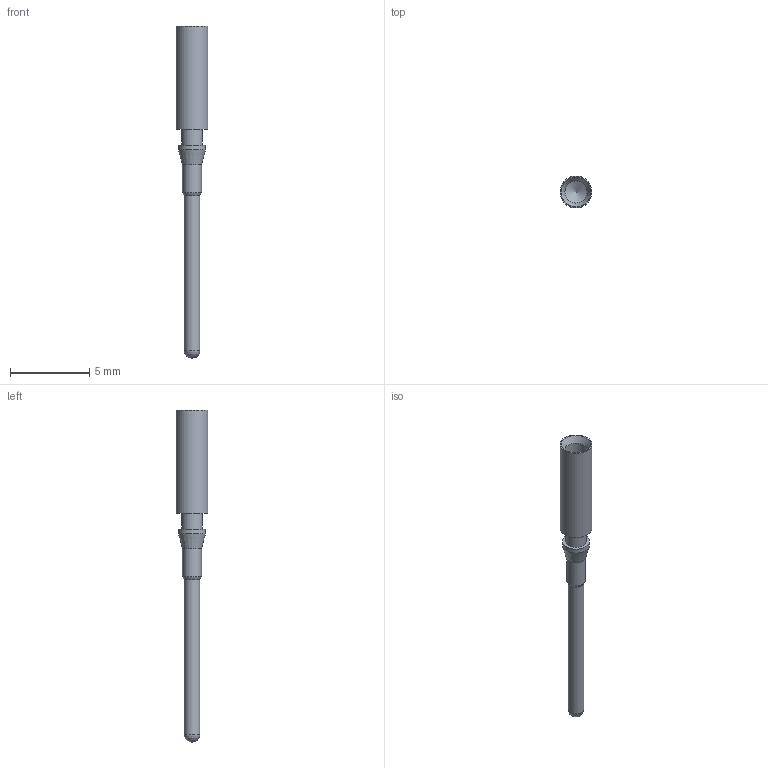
import cadquery as cq
import math

overall_length = 20.9

barrel_radius = 1.0
neck_radius = 0.65
collar_radius = 0.85
shoulder_radius = 0.6
pin_radius = 0.5

barrel_length = 6.5
neck_length = 1.0
collar_length = 0.3
collar_to_shoulder_end = 2.7
tip_rounding = 0.45

collar_taper_angle = 15.0
shoulder_chamfer_angle = 30.0

mouth_radius = 0.94
bore_radius = 0.7
mouth_depth = 0.42
bore_depth = 5.0
drill_point_angle = 118.0


def cone_length(large_radius, small_radius, angle):
    """Axial length of a cone whose side makes the given angle, in degrees, with the axis."""
    return (large_radius - small_radius) / math.tan(math.radians(angle))


collar_taper_length = cone_length(collar_radius, shoulder_radius, collar_taper_angle)
shoulder_chamfer_length = cone_length(shoulder_radius, pin_radius, shoulder_chamfer_angle)

barrel_bottom = overall_length - barrel_length
neck_bottom = barrel_bottom - neck_length
collar_bottom = neck_bottom - collar_length
taper_bottom = collar_bottom - collar_taper_length
shoulder_bottom = collar_bottom - collar_to_shoulder_end
pin_top = shoulder_bottom - shoulder_chamfer_length


def make_body():
    """Revolve the outer half profile, ending in a rounded tip."""
    flat_radius = pin_radius - tip_rounding
    arc_offset = tip_rounding * math.sin(math.pi / 4)
    arc_middle = (flat_radius + arc_offset, tip_rounding - arc_offset)
    profile = (
        cq.Workplane("XZ")
        .moveTo(0, 0)
        .lineTo(flat_radius, 0)
        .threePointArc(arc_middle, (pin_radius, tip_rounding))
        .lineTo(pin_radius, pin_top)
        .lineTo(shoulder_radius, shoulder_bottom)
        .lineTo(shoulder_radius, taper_bottom)
        .lineTo(collar_radius, collar_bottom)
        .lineTo(collar_radius, neck_bottom)
        .lineTo(neck_radius, neck_bottom)
        .lineTo(neck_radius, barrel_bottom)
        .lineTo(barrel_radius, barrel_bottom)
        .lineTo(barrel_radius, overall_length)
        .lineTo(0, overall_length)
        .close()
    )
    return profile.revolve(360, (0, 0, 0), (0, 1, 0))


def make_wire_bore():
    """Revolve the blind bore with its flared mouth and drill point."""
    bore_bottom = overall_length - bore_depth
    drill_point_length = cone_length(bore_radius, 0, drill_point_angle / 2)
    profile = (
        cq.Workplane("XZ")
        .moveTo(0, overall_length)
        .lineTo(mouth_radius, overall_length)
        .lineTo(bore_radius, overall_length - mouth_depth)
        .lineTo(bore_radius, bore_bottom)
        .lineTo(0, bore_bottom - drill_point_length)
        .close()
    )
    return profile.revolve(360, (0, 0, 0), (0, 1, 0))


result = make_body().cut(make_wire_bore())